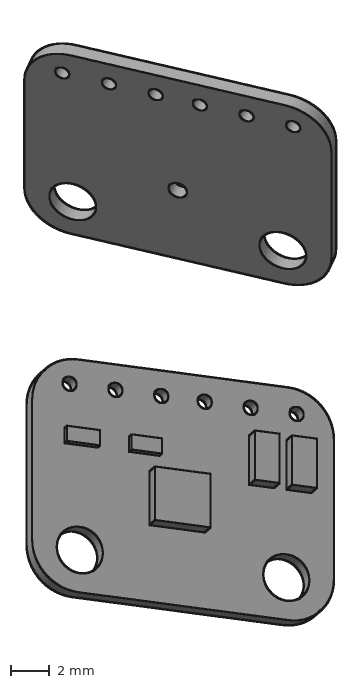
import cadquery as cq

board_width = 16.71
board_height = 12.78
corner_radius = 2.54
overall_depth = 1.64
board_thickness = overall_depth / 2
back_y = board_thickness / 2

pin_hole_diameter = 0.77
pins_per_group = 3
pin_pitch = 2.54
pin_group_gap = 2.4
pin_row_z = 5.0

mount_hole_diameter = 2.54
mount_hole_x = 5.71
mount_hole_z = -4.06

port_diameter = 1.0
port_x = 0.0
port_z = -1.49

tall_height = overall_depth - board_thickness
capacitor_width = 1.37
capacitor_length = 2.7
capacitor_xs = (-6.4, -4.35)
capacitor_z = 2.1
sensor_width = 3.07
sensor_length = 2.94
sensor_x = 0.33
sensor_z = -0.72

low_height = 0.37
chip_length = 0.84
chip_z = capacitor_z
small_chip_width = 1.67
small_chip_x = 2.15
large_chip_width = 1.82
large_chip_x = 5.65


def hole(x, z, diameter):
    """Cutter for a round hole along Y through the whole board."""
    cutter = cq.Workplane("XZ").circle(diameter / 2).extrude(board_thickness / 2, both=True)
    return cutter.translate((x, 0, z))


def component(x, z, width, length, height):
    """Rectangular component standing on the back face."""
    block = cq.Workplane("XY").box(width, height, length, centered=(True, False, True))
    return block.translate((x, back_y, z))


board = (
    cq.Workplane("XY")
    .box(board_width, board_thickness, board_height)
    .edges("|Y")
    .fillet(corner_radius)
)

for side in (-1, 1):
    for index in range(pins_per_group):
        pin_x = side * (pin_group_gap / 2 + index * pin_pitch)
        board = board.cut(hole(pin_x, pin_row_z, pin_hole_diameter))
    board = board.cut(hole(side * mount_hole_x, mount_hole_z, mount_hole_diameter))

board = board.cut(hole(port_x, port_z, port_diameter))

result = board
for capacitor_x in capacitor_xs:
    result = result.union(component(capacitor_x, capacitor_z, capacitor_width, capacitor_length, tall_height))
result = result.union(component(sensor_x, sensor_z, sensor_width, sensor_length, tall_height))
result = result.union(component(small_chip_x, chip_z, small_chip_width, chip_length, low_height))
result = result.union(component(large_chip_x, chip_z, large_chip_width, chip_length, low_height))